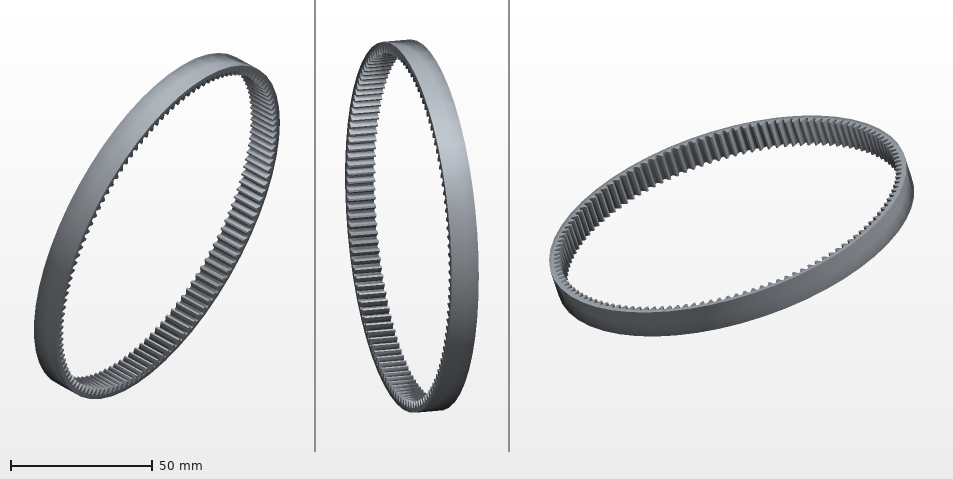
import cadquery as cq
import math


outer_diameter = 132.0
face_width = 10.0
tooth_count = 126
outer_diameter_in_modules = 132
pressure_angle = math.radians(20)
addendum_in_modules = 1.0
dedendum_in_modules = 1.25
backlash = 0.2

module = outer_diameter / outer_diameter_in_modules
outer_radius = outer_diameter / 2
pitch_radius = module * tooth_count / 2
base_radius = pitch_radius * math.cos(pressure_angle)
tip_radius = pitch_radius - addendum_in_modules * module
root_radius = pitch_radius + dedendum_in_modules * module

tooth_pitch = 2 * math.pi / tooth_count
backlash_angle = backlash / pitch_radius
pitch_half_gap = (tooth_pitch / 2 + backlash_angle) / 2


def involute(angle):
    return math.tan(angle) - angle


def half_gap_angle(radius):
    """Half the angle spanned by a tooth gap at a radius, bounded by involute flanks."""
    local_pressure_angle = math.acos(base_radius / radius)
    return pitch_half_gap + involute(pressure_angle) - involute(local_pressure_angle)


def polar(radius, angle):
    return (radius * math.cos(angle), radius * math.sin(angle))


def ring_start_plane():
    return cq.Workplane("YZ", origin=(-face_width / 2, 0, 0))


def toothed_bore():
    """Solid that fills the bore and the tooth gaps; the first gap is centred on the Y axis."""
    tip_half_gap = half_gap_angle(tip_radius)
    root_half_gap = half_gap_angle(root_radius)

    outline = ring_start_plane().moveTo(*polar(tip_radius, -tip_half_gap))
    for gap in range(tooth_count):
        gap_centre = gap * tooth_pitch
        tooth_centre = gap_centre + tooth_pitch / 2
        next_gap_start = gap_centre + tooth_pitch - tip_half_gap
        outline = (
            outline
            .threePointArc(polar(pitch_radius, gap_centre - pitch_half_gap),
                           polar(root_radius, gap_centre - root_half_gap))
            .threePointArc(polar(root_radius, gap_centre),
                           polar(root_radius, gap_centre + root_half_gap))
            .threePointArc(polar(pitch_radius, gap_centre + pitch_half_gap),
                           polar(tip_radius, gap_centre + tip_half_gap))
            .threePointArc(polar(tip_radius, tooth_centre),
                           polar(tip_radius, next_gap_start))
        )
    return outline.close().extrude(face_width)


blank = ring_start_plane().circle(outer_radius).extrude(face_width)
result = blank.cut(toothed_bore())